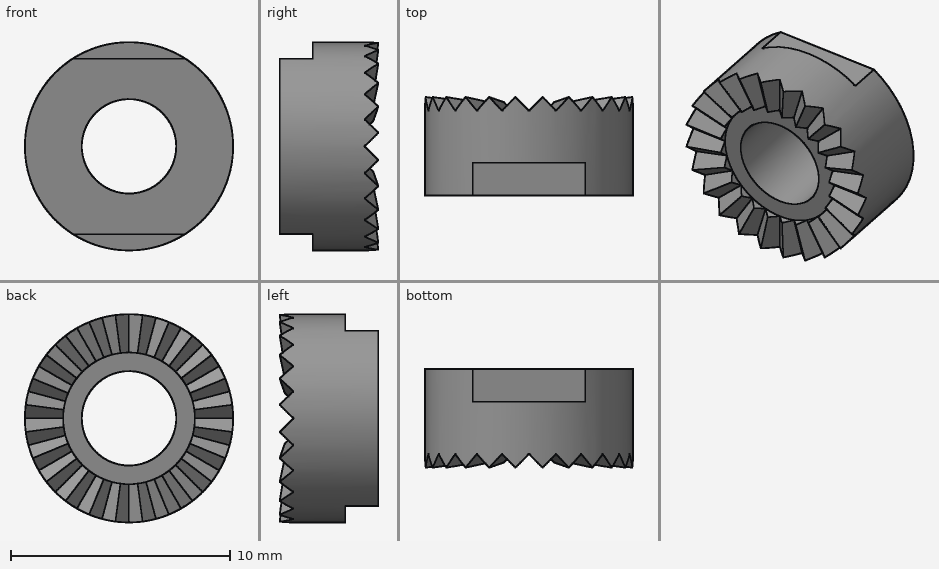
import cadquery as cq
import math

outer_diameter = 9.5
bore_diameter = 4.29
recess_diameter = 6.0
length = 4.5
across_flats = 8.0
flat_length = 1.5
tooth_count = 24
tooth_height = 0.63

outer_radius = outer_diameter / 2
valley_y = length - tooth_height
tooth_pitch = 360 / tooth_count
groove_overshoot = 4
cutter_reach = 2


def cylinder_along_y(diameter):
    """Cylinder from y = 0 to the tips of the teeth."""
    return cq.Workplane("XZ").circle(diameter / 2).extrude(-length)


def recess_cutter():
    """Disc that clears the teeth around the bore, down to the valley level."""
    return cylinder_along_y(recess_diameter).translate((0, valley_y, 0))


def flat_cutter(side):
    """Block that removes one flat; side is +1 or -1 along Z."""
    depth = outer_radius - across_flats / 2
    return (
        cq.Workplane("XY")
        .box(outer_diameter, flat_length, depth)
        .translate((0, flat_length / 2, side * (across_flats + depth) / 2))
    )


def groove_cutter():
    """Tetrahedron along +Z with its apex on the axis and its lower edge level."""
    half_pitch = math.radians(tooth_pitch / 2)
    reach = cutter_reach * outer_radius
    half_width = groove_overshoot * reach * math.tan(half_pitch)
    height = groove_overshoot * cutter_reach * tooth_height / math.cos(half_pitch)

    apex = cq.Vector(0, valley_y, 0)
    valley = cq.Vector(0, valley_y, reach)
    left = cq.Vector(-half_width, valley_y + height, reach)
    right = cq.Vector(half_width, valley_y + height, reach)
    triangles = [
        (apex, valley, left),
        (apex, right, valley),
        (apex, left, right),
        (valley, right, left),
    ]
    faces = [cq.Face.makeFromWires(cq.Wire.makePolygon(points, close=True)) for points in triangles]
    return cq.Workplane(obj=cq.Solid.makeSolid(cq.Shell.makeShell(faces)))


result = cylinder_along_y(outer_diameter).cut(cylinder_along_y(bore_diameter))
result = result.cut(recess_cutter())

for side in (1, -1):
    result = result.cut(flat_cutter(side))

groove = groove_cutter()
for index in range(tooth_count):
    result = result.cut(groove.rotate((0, 0, 0), (0, 1, 0), index * tooth_pitch))